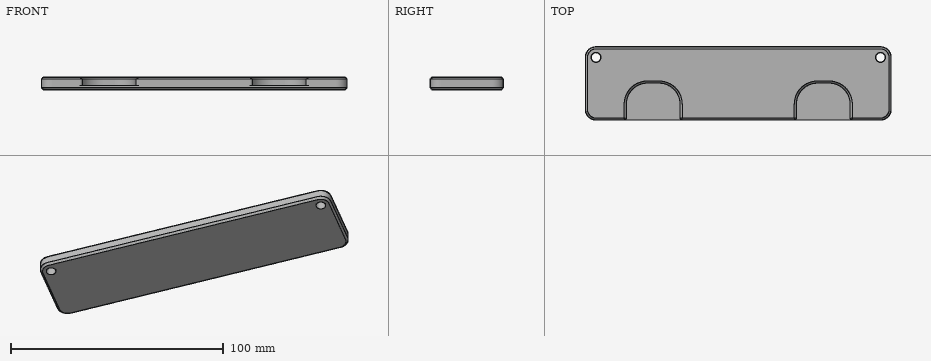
import cadquery as cq

length = 144.0
width = 34.5
thickness = 6.0
corner_radius = 5.0
edge_chamfer = 1.0

hole_diameter = 4.5
hole_x = length / 2 - corner_radius
hole_y = width / 2 - corner_radius

pocket_offset = 40.0
pocket_width = 25.3
pocket_reach = 17.4
pocket_corner_radius = 10.0
pocket_floor = 2.0
rim_angle = 45

front_y = -width / 2


def rounded_plate():
    """Plate with rounded corners and chamfered top and bottom rims."""
    plate = cq.Workplane("XY").box(length, width, thickness, centered=(True, True, False))
    plate = plate.edges("|Z").fillet(corner_radius)
    return plate.faces("<Z or >Z").edges().chamfer(edge_chamfer)


def pocket_outline(center_x):
    """Rounded pocket outline that overshoots the front edge."""
    overshoot = corner_radius
    return (
        cq.Sketch()
        .push([(center_x, front_y + (pocket_reach - overshoot) / 2)])
        .rect(pocket_width, pocket_reach + overshoot)
        .reset()
        .vertices(">Y")
        .fillet(pocket_corner_radius)
    )


def pocket_cutter(center_x):
    """Pocket volume with a flared top rim and square mouth corners."""
    depth = thickness - pocket_floor
    outline = pocket_outline(center_x)
    straight = cq.Workplane("XY", origin=(0, 0, pocket_floor)).placeSketch(outline).extrude(depth)
    rim = (
        cq.Workplane("XY", origin=(0, 0, thickness - edge_chamfer))
        .placeSketch(outline)
        .extrude(edge_chamfer, taper=-rim_angle)
    )
    mouth = (
        cq.Workplane("XY", origin=(center_x, front_y, pocket_floor))
        .rect(pocket_width + 2 * edge_chamfer, 2 * edge_chamfer)
        .extrude(depth)
    )
    return straight.union(rim).union(mouth)


def mouth_post(x):
    """Rounded mouth corner: a cylinder topped by a cone where the chamfers meet."""
    y = front_y + edge_chamfer
    shoulder = thickness - edge_chamfer
    post = (
        cq.Workplane("XY", origin=(x, y, pocket_floor))
        .circle(edge_chamfer)
        .extrude(shoulder - pocket_floor)
    )
    tip = cq.Solid.makeCone(edge_chamfer, 0, edge_chamfer, pnt=cq.Vector(x, y, shoulder))
    return post.union(cq.Workplane(tip))


result = rounded_plate()
for side in (-1, 1):
    pocket_x = side * pocket_offset
    result = result.cut(pocket_cutter(pocket_x))
    for corner in (-1, 1):
        post_x = pocket_x + corner * (pocket_width / 2 + edge_chamfer)
        result = result.union(mouth_post(post_x))

holes = (
    cq.Workplane("XY")
    .pushPoints([(-hole_x, hole_y), (hole_x, hole_y)])
    .circle(hole_diameter / 2)
    .extrude(thickness)
)
result = result.cut(holes)